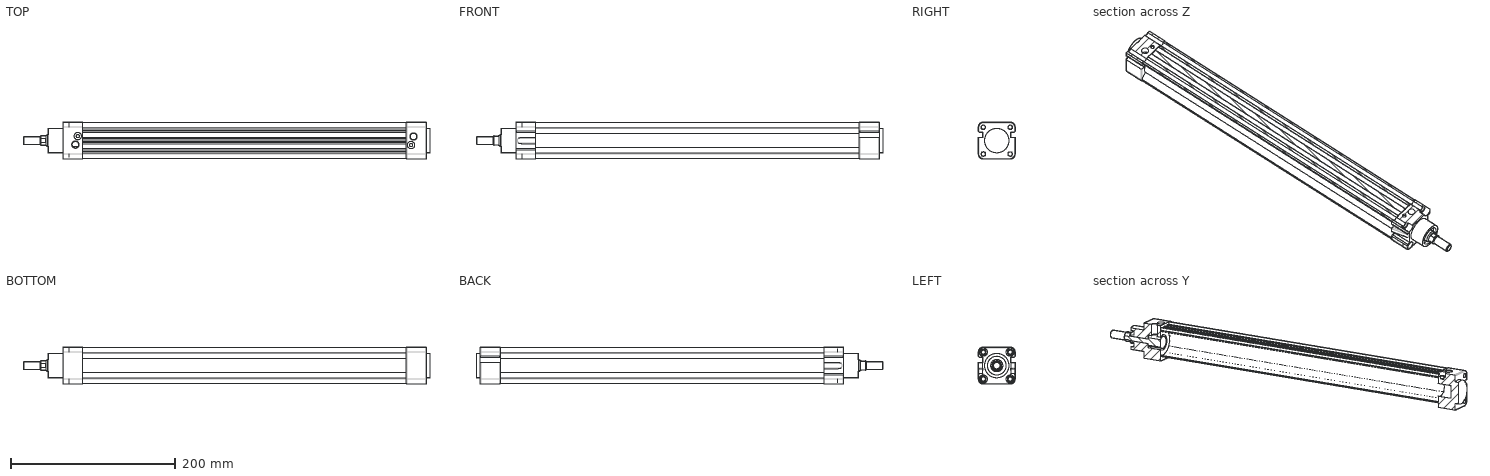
import cadquery as cq

LENGTH = 496.0
BOSS_START = 30.5
HEAD_START = 48.0
TUBE_START = 72.5
TUBE_END = 466.5
CAP_END = 491.5

COVER_SIZE = 45.0
SCREW_OFFSET = 16.5
SCREW_HOLE_RADIUS = 2.5
SCREW_RECESS_STEPS = [(5.0, 7.5), (3.5, 10.0)]
COVER_CORNER_RADIUS = COVER_SIZE / 2 - SCREW_OFFSET
COVER_EDGE_FILLET = 1.0

GROOVE_FLOOR = 17.5
GROOVE_INNER = 4.0
GROOVE_OUTER = 10.0
GROOVE_LIP_CHAMFER = 1.5
RIB_START_RADIUS = 17.0
RIB_EDGE_FILLET = 1.5

BOSS_RADIUS = 15.0
BOSS_RECESS_RADIUS = 11.5
BOSS_RECESS_DEPTH = 4.0
GLAND_RADIUS = 7.5
GLAND_START = 28.0

ROD_RADIUS = 6.0
THREAD_RADIUS = 5.0
THREAD_END = 20.5
THREAD_CHAMFER = 1.0
FLAT_START = 22.0
FLAT_END = 27.5
FLAT_HALF_GAP = 5.5
CUSHION_RADIUS = 7.5
CUSHION_START = 54.5
GLAND_CHAMFER = GLAND_RADIUS - ROD_RADIUS

CHAMBER_RADIUS = 9.5
CHAMBER_DEPTH = 18.0
PORT_INSET = 9.0
PORT_OFFSET = 5.0
PORT_RADIUS = 4.0
PORT_CHAMFER = 0.5
NEEDLE_INSET = 6.0
NEEDLE_OFFSET = 5.5
NEEDLE_RECESS_RADIUS = 4.5
NEEDLE_RECESS_DEPTH = 5.0
NEEDLE_HOLE_RADIUS = 2.0
NEEDLE_HOLE_DEPTH = 8.0

TUBE_SIZE = 44.0
TUBE_CORNER_RADIUS = 6.0
BARREL_RADIUS = 17.5
BORE_RADIUS = 16.0
CHANNEL_HALF = 15.5
CHANNEL_FLOOR = 14.5
RAIL_TOP = 20.0
CENTRE_SLOT_STEPS = [(2.5, 1.0), (1.0, 3.0)]
SENSOR_SLOT_INNER = 4.0
SENSOR_SLOT_STEPS = [(11.5, 0.5), (10.0, 3.5)]

HALF = COVER_SIZE / 2
TUBE_HALF = TUBE_SIZE / 2
SIDES = (1, -1)


def rod_along_x(radius, start, end):
    return cq.Workplane("YZ", origin=(start, 0, 0)).circle(radius).extrude(end - start)


def square_bar(size, corner_radius, start, end):
    bar = cq.Workplane("YZ", origin=(start, 0, 0)).rect(size, size).extrude(end - start)
    return bar.edges("|X").fillet(corner_radius)


def prism_along_x(points, start, end):
    return cq.Workplane("YZ", origin=(start, 0, 0)).polyline(points).close().extrude(end - start)


def screw_holes(radius, start, end):
    spacing = 2 * SCREW_OFFSET
    plane = cq.Workplane("YZ", origin=(start, 0, 0))
    return plane.rarray(spacing, spacing, 2, 2).circle(radius).extrude(end - start)


def side_groove(side, level, start, end):
    """Groove in the side facing `side` (Y), above (level 1) or below (-1) the middle plane."""
    points = [
        (side * GROOVE_FLOOR, level * GROOVE_INNER),
        (side * HALF, level * GROOVE_INNER),
        (side * HALF, level * (GROOVE_OUTER + GROOVE_LIP_CHAMFER)),
        (side * (HALF - GROOVE_LIP_CHAMFER), level * GROOVE_OUTER),
        (side * GROOVE_FLOOR, level * GROOVE_OUTER),
    ]
    return prism_along_x(points, start, end)


def hole_from_top(x, y, radius, depth):
    return cq.Workplane("XY", origin=(x, y, HALF)).circle(radius).extrude(-depth)


def cut_port_and_needle(cover, tube_face, away):
    """Air port and cushion screw on the +Z face; `away` points along X away from the tube."""
    port_x = tube_face + away * PORT_INSET
    port_y = away * PORT_OFFSET
    needle_x = tube_face + away * NEEDLE_INSET
    needle_y = -away * NEEDLE_OFFSET
    countersink = cq.Solid.makeCone(
        PORT_RADIUS + PORT_CHAMFER, PORT_RADIUS, PORT_CHAMFER,
        cq.Vector(port_x, port_y, HALF), cq.Vector(0, 0, -1)
    )
    cover = cover.cut(hole_from_top(port_x, port_y, PORT_RADIUS, HALF))
    cover = cover.cut(cq.Workplane(countersink))
    cover = cover.cut(hole_from_top(needle_x, needle_y, NEEDLE_RECESS_RADIUS, NEEDLE_RECESS_DEPTH))
    return cover.cut(hole_from_top(needle_x, needle_y, NEEDLE_HOLE_RADIUS, NEEDLE_HOLE_DEPTH))


def middle_ribs():
    """Ribs along both sides between the grooves, with a conical crest and rounded edges."""
    length = TUBE_START - HEAD_START
    crest_cone = cq.Solid.makeCone(
        RIB_START_RADIUS, HALF, length, cq.Vector(HEAD_START, 0, 0), cq.Vector(1, 0, 0)
    )
    slab = cq.Workplane("XY").box(length, COVER_SIZE, 2 * GROOVE_INNER)
    slab = slab.translate(((HEAD_START + TUBE_START) / 2, 0, 0))
    ribs = slab.intersect(cq.Workplane(crest_cone))
    return ribs.faces("<Z or >Z").edges("not(|Y)").fillet(RIB_EDGE_FILLET)


def make_head():
    head = square_bar(COVER_SIZE, COVER_CORNER_RADIUS, HEAD_START, TUBE_START)
    head = head.faces("<X").edges().fillet(COVER_EDGE_FILLET)
    for side in SIDES:
        for level in SIDES:
            head = head.cut(side_groove(side, level, HEAD_START, TUBE_START))
    middle = cq.Workplane("XY").box(LENGTH, COVER_SIZE, 2 * GROOVE_INNER)
    core = cq.Workplane("XY").box(LENGTH, 2 * GROOVE_FLOOR, COVER_SIZE)
    side_strips = middle.cut(core)
    head = head.cut(side_strips).union(middle_ribs())

    boss = rod_along_x(BOSS_RADIUS, BOSS_START, HEAD_START)
    recess_end = BOSS_START + BOSS_RECESS_DEPTH
    boss = boss.cut(rod_along_x(BOSS_RECESS_RADIUS, BOSS_START, recess_end))
    gland = rod_along_x(GLAND_RADIUS, GLAND_START, HEAD_START).faces("<X").chamfer(GLAND_CHAMFER)
    head = head.union(boss).union(gland)

    head = head.cut(screw_holes(SCREW_HOLE_RADIUS, HEAD_START, TUBE_START))
    for radius, depth in SCREW_RECESS_STEPS:
        head = head.cut(screw_holes(radius, HEAD_START, HEAD_START + depth))

    head = head.cut(rod_along_x(ROD_RADIUS, GLAND_START, TUBE_START))
    head = head.cut(rod_along_x(CHAMBER_RADIUS, CUSHION_START, TUBE_START))
    return cut_port_and_needle(head, TUBE_START, -1)


def side_channel():
    """Channel with 45 degree flanks along the +Z side."""
    floor_half = CHANNEL_HALF - (TUBE_HALF - CHANNEL_FLOOR)
    points = [
        (-CHANNEL_HALF, TUBE_HALF), (CHANNEL_HALF, TUBE_HALF),
        (floor_half, CHANNEL_FLOOR), (-floor_half, CHANNEL_FLOOR),
    ]
    return prism_along_x(points, TUBE_START, TUBE_END)


def rail_slot(edge_a, edge_b, depth):
    """Slot along the tube, between two Y positions, sunk below the rail top."""
    points = [
        (edge_a, RAIL_TOP), (edge_b, RAIL_TOP),
        (edge_b, RAIL_TOP - depth), (edge_a, RAIL_TOP - depth),
    ]
    return prism_along_x(points, TUBE_START, TUBE_END)


def make_tube():
    tube = square_bar(TUBE_SIZE, TUBE_CORNER_RADIUS, TUBE_START, TUBE_END)
    for quarter in range(4):
        tube = tube.cut(side_channel().rotate((0, 0, 0), (1, 0, 0), 90 * quarter))
    tube = tube.union(rod_along_x(BARREL_RADIUS, TUBE_START, TUBE_END))

    rail_half = CHANNEL_HALF - (TUBE_HALF - RAIL_TOP)
    rail = [(-rail_half, 0), (-rail_half, RAIL_TOP), (rail_half, RAIL_TOP), (rail_half, 0)]
    tube = tube.union(prism_along_x(rail, TUBE_START, TUBE_END))
    for half_width, depth in CENTRE_SLOT_STEPS:
        tube = tube.cut(rail_slot(-half_width, half_width, depth))
    for outer, depth in SENSOR_SLOT_STEPS:
        for side in SIDES:
            tube = tube.cut(rail_slot(side * SENSOR_SLOT_INNER, side * outer, depth))

    tube = tube.cut(rod_along_x(BORE_RADIUS, TUBE_START, TUBE_END))
    return tube.cut(screw_holes(SCREW_HOLE_RADIUS, TUBE_START, TUBE_END))


def make_end_cap():
    cap = square_bar(COVER_SIZE, COVER_CORNER_RADIUS, TUBE_END, CAP_END)
    cap = cap.faces("<X or >X").edges().fillet(COVER_EDGE_FILLET)
    for side in SIDES:
        cap = cap.cut(side_groove(side, 1, TUBE_END, CAP_END))
    cap = cap.union(rod_along_x(BOSS_RADIUS, CAP_END, LENGTH))
    cap = cap.cut(screw_holes(SCREW_HOLE_RADIUS, TUBE_END, LENGTH))
    cap = cap.cut(rod_along_x(CHAMBER_RADIUS, TUBE_END, TUBE_END + CHAMBER_DEPTH))
    return cut_port_and_needle(cap, TUBE_END, 1)


def make_piston_rod():
    thread = rod_along_x(THREAD_RADIUS, 0, THREAD_END).faces("<X").chamfer(THREAD_CHAMFER)
    shank = rod_along_x(ROD_RADIUS, THREAD_END, CUSHION_START)
    shank = shank.faces("<X").chamfer(ROD_RADIUS - THREAD_RADIUS)
    for side in SIDES:
        flat_x = (FLAT_START + FLAT_END) / 2
        flat = cq.Workplane("XY").box(FLAT_END - FLAT_START, 2 * ROD_RADIUS, ROD_RADIUS)
        shank = shank.cut(flat.translate((flat_x, 0, side * (FLAT_HALF_GAP + ROD_RADIUS / 2))))
    cushion = rod_along_x(CUSHION_RADIUS, CUSHION_START, TUBE_START)
    return thread.union(shank).union(cushion)


head = make_head()
tube = make_tube()
end_cap = make_end_cap()
piston_rod = make_piston_rod()

bodies = [head, tube, end_cap, piston_rod]
result = cq.Compound.makeCompound([body.solids().val() for body in bodies])